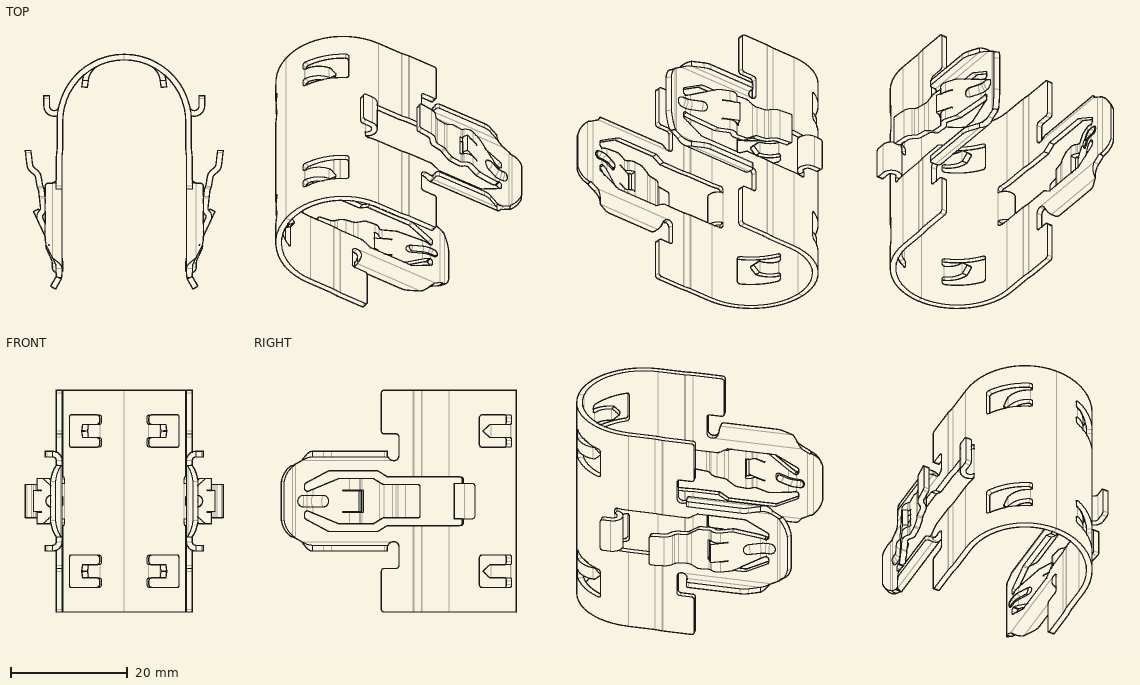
import cadquery as cq
import math


sheet = 1.0
half_sheet = sheet / 2
half_height = 19.0
back_outer_radius = 11.5
back_inner_radius = back_outer_radius - sheet
back_mid_radius = back_outer_radius - half_sheet
through = 40.0

joggle_start_y = -4.7
joggle_end_y = -6.1
joggle_offset = 0.15
joggle_bend = 1.0
leg_mid = back_mid_radius + joggle_offset
leg_inner = leg_mid - half_sheet
leg_outer = leg_mid + half_sheet
leg_end_y = -28.71
flare_angle = math.radians(30)
flare_bend = 1.5
flare_bend_y = -26.67

ear_end_y = -11.6
ear_low_z = 11.5
corner_radius = 0.5
slot_start_y = -8.6
slot_end_y = -10.56
slot_radius = 0.8

tongue_half = 6.95
tongue_taper_y = -25.2
tongue_arc_y = -26.75
tongue_arc_z = 6.1
tongue_end_half = 3.35
tongue_round_start = 0.1
tongue_round_mid = (1.36, 4.95)

flange_inner_bend = 0.6
flange_outer_bend = flange_inner_bend + sheet
flange_fold = 90
flange_out = 13.53
flange_bend_out = leg_inner + flange_outer_bend
flange_top_z = tongue_half + flange_outer_bend
flange_fall_y = -20.85
flange_fall_radius = 3.0
flange_root_radius = 1.1
flange_bend_end_y = -23.4

window_half = 4.17
window_angle = 12.4
window_widen_y = -10.6
window_wide_y = -12.2
window_wide_half = 5.17
window_narrow_y = -20.6
window_end_y = -24.72
window_end_z = 2.97
window_tip_z = 1.45
window_tip_radius = 0.5

hook_half = 3.03
hook_bend = 1.28
hook_end_y = 4.42

spring_root_y = -24.3
spring_root_half = 1.63
spring_bend_y = -23.67
spring_root_bend = 2.84
spring_angle = math.radians(25)
spring_wide_half = 3.9
spring_wide_start_y = -18.85
spring_wide_end_y = -12.98
spring_tip_start_y = -11.3
spring_tip_half = 2.87
spring_tip_y = -4.95
spring_tip_radius = 0.4
spring_knee_y = -16.17
spring_knee_bend = 1.1
spring_return_corner = (13.8, -15.17)
spring_return_bend = 0.8
spring_step_start = (14.18, -11.75)
spring_step_end = (14.45, -11.0)
grip_low_corner = (14.78, -9.0)
grip_high_corner = (16.1, -8.0)
grip_bend = 1.45
grip_end = (16.47, -4.9)
catch_end_y = -15.2
catch_half = 1.8
catch_gap = 0.1
catch_slit_y = -18.15
catch_opening_y = -14.7

bead_radius = 1.05
bead_groove_radius = 0.7
bead_rise = 0.15
bead_low_y = -24.9
bead_high_y = -21.35

barb_z = 12.0
barb_half = 1.14
barb_window_half = 2.75
barb_window_start = 26.9
barb_hinge = 66.7
barb_slit_end = 68.4
barb_bend = 3.75
barb_lead = 2.15
barb_end = (6.79, 5.84)
barb_taper_y = 6.97
barb_point_y = 5.79


def polar(radius, degrees, center=(0, 0)):
    angle = math.radians(degrees)
    return (center[0] + radius * math.cos(angle), center[1] + radius * math.sin(angle))


def heading(start, end):
    length = math.hypot(end[0] - start[0], end[1] - start[1])
    return ((end[0] - start[0]) / length, (end[1] - start[1]) / length)


def rounded_outline(plane, corners):
    """Closed outline through (u, v, radius) corners, rounded where radius > 0."""
    pieces = []
    for index, (u, v, radius) in enumerate(corners):
        if radius == 0:
            pieces.append([(u, v)])
            continue
        before = heading((u, v), corners[index - 1])
        after = heading((u, v), corners[(index + 1) % len(corners)])
        half_angle = math.acos(before[0] * after[0] + before[1] * after[1]) / 2
        setback = radius / math.tan(half_angle)
        bisector = heading((0, 0), (before[0] + after[0], before[1] + after[1]))
        to_arc = radius / math.sin(half_angle) - radius
        start = (u + setback * before[0], v + setback * before[1])
        middle = (u + to_arc * bisector[0], v + to_arc * bisector[1])
        end = (u + setback * after[0], v + setback * after[1])
        pieces.append([start, middle, end])
    outline = cq.Workplane(plane).moveTo(*pieces[0][-1])
    for piece in pieces[1:] + pieces[:1]:
        if piece is not pieces[0] or len(piece) > 1:
            outline = outline.lineTo(*piece[0])
        if len(piece) > 1:
            outline = outline.threePointArc(piece[1], piece[2])
    return outline.close()


def offset_side(path, side):
    """Corners of one face of a bent strip; side is +1 (left) or -1 (right)."""
    corners = []
    last = len(path) - 1
    for index, (x, y, radius) in enumerate(path):
        arrive = heading(path[max(index, 1) - 1], path[max(index, 1)])
        leave = heading(path[min(index, last - 1)], path[min(index, last - 1) + 1])
        turn = math.asin(arrive[0] * leave[1] - arrive[1] * leave[0])
        along = -side * half_sheet * math.tan(turn / 2)
        corner_x = x + along * arrive[0] - side * half_sheet * arrive[1]
        corner_y = y + along * arrive[1] + side * half_sheet * arrive[0]
        if radius > 0:
            radius -= math.copysign(half_sheet, turn * side)
        corners.append((corner_x, corner_y, radius))
    return corners


def bent_strip(path, half_width):
    """Sheet strip along the mid-line path of (out, y, bend radius) in XY."""
    outline = offset_side(path, 1) + offset_side(path, -1)[::-1]
    return rounded_outline("XY", outline).extrude(half_width, both=True)


def mirrored_z(half_outline):
    """Close a (y, z) half outline with its mirror image and extrude along X."""
    lower = [(y, -z, radius) for y, z, radius in reversed(half_outline)]
    return rounded_outline("YZ", half_outline + lower).extrude(through)


def back_sector(start, end, half_width):
    """Block that cuts the half-round back radially between two angles."""
    near = back_inner_radius - sheet
    far = back_outer_radius + sheet
    return (
        cq.Workplane("XY")
        .polyline([polar(near, start), polar(far, start), polar(far, end), polar(near, end)])
        .close()
        .extrude(half_width, both=True)
    )


def round_sector_end(sector, degrees):
    """Round the two radial edges at one end of a sector block."""
    probe = polar(back_mid_radius, degrees)
    ends = sector.faces(cq.selectors.NearestToPointSelector((probe[0], probe[1], 0)))
    return ends.edges("#Z").fillet(corner_radius)


def half_back():
    outline = (
        cq.Workplane("XY")
        .moveTo(back_inner_radius, 0)
        .lineTo(back_outer_radius, 0)
        .threePointArc(polar(back_outer_radius, 45), (0, back_outer_radius))
        .lineTo(0, back_inner_radius)
        .threePointArc(polar(back_inner_radius, 45), (back_inner_radius, 0))
        .close()
    )
    return outline.extrude(half_height, both=True)


def leg():
    end_mid_y = leg_end_y + half_sheet * math.sin(flare_angle)
    end_mid_out = leg_mid + (flare_bend_y - end_mid_y) * math.tan(flare_angle)
    strip = bent_strip(
        [
            (back_mid_radius, 0, 0),
            (back_mid_radius, joggle_start_y, joggle_bend),
            (leg_mid, joggle_end_y, joggle_bend),
            (leg_mid, flare_bend_y, flare_bend),
            (end_mid_out, end_mid_y, 0),
        ],
        half_height,
    )
    ears = mirrored_z(
        [
            (0, half_height, 0),
            (ear_end_y, half_height, corner_radius),
            (ear_end_y, ear_low_z, corner_radius),
            (slot_start_y, ear_low_z, corner_radius),
            (slot_start_y, tongue_half, slot_radius),
            (slot_end_y, tongue_half, 0),
        ]
    )
    tongue = (
        cq.Workplane("YZ")
        .moveTo(slot_end_y, tongue_half)
        .lineTo(tongue_taper_y, tongue_half)
        .lineTo(tongue_arc_y, tongue_arc_z)
        .lineTo(leg_end_y, tongue_arc_z)
        .lineTo(leg_end_y, 0)
        .lineTo(slot_end_y, 0)
        .close()
        .extrude(through)
    )
    body = strip.intersect(ears.union(tongue).union(tongue.mirror("XY")))
    corner = flare_corner((flare_bend_y - end_mid_y) / math.cos(flare_angle))
    return body.cut(corner).cut(corner.mirror("XY"))


def flare_corner(flare_length):
    """Waste outside the rounded corner of the flared end, square to the sheet."""
    plane = cq.Plane(
        origin=(leg_mid, flare_bend_y, 0),
        xDir=(math.sin(flare_angle), -math.cos(flare_angle), 0),
        normal=(-math.cos(flare_angle), -math.sin(flare_angle), 0),
    )
    return (
        cq.Workplane(plane)
        .moveTo(tongue_round_start, tongue_arc_z)
        .threePointArc(tongue_round_mid, (flare_length, tongue_end_half))
        .lineTo(flare_length + sheet, tongue_end_half)
        .lineTo(flare_length + sheet, tongue_half)
        .lineTo(tongue_round_start, tongue_half)
        .close()
        .extrude(sheet, both=True)
    )


def flange():
    """Upper flange: a quarter-round bend and a flat; the bend's end runs out in a twist."""
    section = (
        cq.Workplane("XZ")
        .moveTo(leg_inner, tongue_half)
        .radiusArc((flange_bend_out, flange_top_z), flange_outer_bend)
        .lineTo(flange_out, flange_top_z)
        .lineTo(flange_out, flange_top_z - sheet)
        .lineTo(flange_bend_out, flange_top_z - sheet)
        .radiusArc((leg_outer, tongue_half), -flange_inner_bend)
        .close()
        .extrude(through)
    )
    outline = rounded_outline(
        "XY",
        [
            (leg_inner, slot_start_y, 0),
            (flange_bend_out, slot_start_y, 0),
            (flange_bend_out, slot_end_y, 0),
            (flange_out, slot_end_y, corner_radius),
            (flange_out, flange_fall_y, flange_fall_radius),
            (flange_bend_out, flange_bend_end_y, 0),
            (flange_bend_out, tongue_taper_y, 0),
            (leg_inner, tongue_taper_y, 0),
        ],
    ).extrude(half_height)
    slot = rounded_outline(
        "YZ",
        [
            (slot_start_y, tongue_half, 0),
            (slot_end_y, tongue_half, flange_root_radius),
            (slot_end_y, ear_low_z, 0),
            (slot_start_y, ear_low_z, 0),
        ],
    ).extrude(through)
    waste_side = 2 * flange_outer_bend
    run_out = (
        cq.Workplane("XZ", origin=(flange_bend_out, flange_bend_end_y, tongue_half))
        .rect(waste_side, waste_side, centered=False)
        .twistExtrude(flange_bend_end_y - tongue_taper_y, flange_fold)
    )
    return section.intersect(outline).cut(slot).cut(run_out)


def leg_window():
    straight = mirrored_z(
        [
            (0, window_half, 0),
            (window_widen_y, window_half, 0),
            (window_wide_y, window_wide_half, 0),
            (window_narrow_y, window_wide_half, corner_radius),
            (window_end_y, window_end_z, window_tip_radius),
            (window_end_y, window_tip_z, window_tip_radius),
            (spring_root_y, spring_root_half, 0),
        ]
    )
    curved = round_sector_end(back_sector(0, window_angle, window_half), window_angle)
    return straight.union(curved)


def hook():
    center = polar(back_mid_radius + hook_bend, window_angle)
    root = window_angle + 180
    middle = root + (360 - root) / 2
    outer = hook_bend + half_sheet
    inner = hook_bend - half_sheet
    curl = (
        cq.Workplane("XY")
        .moveTo(*polar(inner, root, center))
        .lineTo(*polar(outer, root, center))
        .threePointArc(polar(outer, middle, center), polar(outer, 0, center))
        .lineTo(center[0] + outer, hook_end_y)
        .lineTo(center[0] + inner, hook_end_y)
        .lineTo(*polar(inner, 0, center))
        .threePointArc(polar(inner, middle, center), polar(inner, root, center))
        .close()
        .extrude(hook_half, both=True)
    )
    return curl.faces(">Y").edges("|X").fillet(corner_radius)


def on_catch(y):
    """Mid-line of the sloping part of the spring at a given Y."""
    return leg_mid + (y - spring_bend_y) * math.tan(spring_angle)


def spring():
    root = [
        (leg_mid, spring_root_y - half_sheet, 0),
        (leg_mid, spring_bend_y, spring_root_bend),
    ]
    body = bent_strip(
        root
        + [
            (on_catch(spring_knee_y), spring_knee_y, spring_knee_bend),
            (*spring_return_corner, spring_return_bend),
            (*spring_step_start, 0),
            (*spring_step_end, 0),
            (*grip_low_corner, grip_bend),
            (*grip_high_corner, grip_bend),
            (*grip_end, 0),
        ],
        spring_wide_half,
    )
    outline = mirrored_z(
        [
            (spring_tip_y, spring_tip_half, spring_tip_radius),
            (spring_tip_start_y, spring_tip_half, corner_radius),
            (spring_wide_end_y, spring_wide_half, corner_radius),
            (spring_wide_start_y, spring_wide_half, corner_radius),
            (spring_root_y, spring_root_half, 0),
            (window_end_y, window_tip_z, 0),
        ]
    )
    opening = (
        cq.Workplane("YZ")
        .rect(catch_opening_y - catch_slit_y, 2 * (catch_half + catch_gap))
        .extrude(through)
        .translate((0, (catch_opening_y + catch_slit_y) / 2, 0))
    )
    catch = bent_strip(root + [(on_catch(catch_end_y), catch_end_y, 0)], catch_half)
    catch = catch.intersect(outline)
    return body.intersect(outline).cut(opening).union(catch)


def bead(radius, rise):
    """Round-ended rod bent along the spring root, above the sheet's mid-line."""
    low = (leg_mid + rise, bead_low_y)
    knee = (leg_mid + rise, spring_bend_y)
    high = (on_catch(bead_high_y) + rise, bead_high_y)
    setback = spring_root_bend * math.tan(spring_angle / 2)
    slope = heading(knee, high)
    bend_start = (knee[0], knee[1] - setback)
    bend_end = (knee[0] + setback * slope[0], knee[1] + setback * slope[1])
    axis = (
        cq.Workplane("XY")
        .moveTo(*low)
        .lineTo(*bend_start)
        .tangentArcPoint(bend_end, relative=False)
        .lineTo(*high)
    )
    section = cq.Workplane("XZ", origin=(low[0], low[1], 0)).circle(radius)
    rod = section.sweep(axis)
    for x, y in (low, high):
        rod = rod.union(cq.Workplane("XY").sphere(radius).translate((x, y, 0)))
    return rod


def barb_window():
    slit_width = barb_window_half - barb_half
    slit_center = barb_half + slit_width / 2
    slit = back_sector(barb_window_start, barb_slit_end, slit_width / 2)
    slit = round_sector_end(slit, barb_slit_end)
    middle = (barb_window_start + barb_hinge) / 2
    entry = round_sector_end(
        back_sector(barb_window_start, middle, barb_window_half), barb_window_start
    )
    barb_space = back_sector(middle, barb_hinge, barb_half)
    beyond_start = back_sector(middle, barb_slit_end, barb_window_half)
    window = entry.union(barb_space)
    for side in (-1, 1):
        window = window.union(slit.translate((0, 0, side * slit_center)).intersect(beyond_start))
    return window


def barb():
    hinge = polar(back_mid_radius, barb_hinge)
    knee = polar(barb_lead, barb_hinge - 90, hinge)
    strip = bent_strip([(*hinge, 0), (*knee, barb_bend), (*barb_end, 0)], barb_half)
    point = cq.Workplane("YZ").polyline(
        [
            (back_outer_radius, barb_half + sheet),
            (barb_taper_y, barb_half + sheet),
            (barb_taper_y, barb_half),
            (barb_point_y, 0),
            (barb_taper_y, -barb_half),
            (barb_taper_y, -barb_half - sheet),
            (back_outer_radius, -barb_half - sheet),
        ]
    )
    return strip.intersect(point.close().extrude(through))


def half_clip():
    upper_flange = flange()
    body = half_back().union(leg()).cut(leg_window())
    body = body.union(upper_flange).union(upper_flange.mirror("XY"))
    body = body.union(spring()).union(hook())
    body = body.union(bead(bead_radius, bead_rise))
    body = body.cut(bead(bead_groove_radius, -half_sheet))
    for z in (-barb_z, barb_z):
        body = body.cut(barb_window().translate((0, 0, z)))
        body = body.union(barb().translate((0, 0, z)))
    return body


right_half = half_clip()
result = right_half.union(right_half.mirror("YZ"), clean=False)